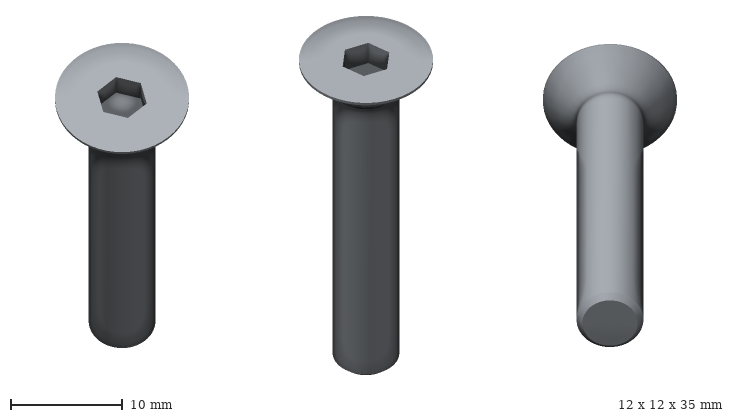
import cadquery as cq

total_length = 35.0
head_diameter = 12.0
shank_diameter = 6.0

rim_height = 0.28
head_radius = head_diameter / 2
shank_radius = shank_diameter / 2
cone_height = head_radius - shank_radius

tip_chamfer_height = 0.52
tip_chamfer_width = 0.52

socket_across_flats = 4.0
socket_depth = 2.38


def make_body():
    """Revolve the screw's half profile about Z, with the tip at Z = 0."""
    rim_bottom = total_length - rim_height
    cone_bottom = rim_bottom - cone_height
    profile = (
        cq.Workplane("XZ")
        .moveTo(0, 0)
        .lineTo(shank_radius - tip_chamfer_width, 0)
        .lineTo(shank_radius, tip_chamfer_height)
        .lineTo(shank_radius, cone_bottom)
        .lineTo(head_radius, rim_bottom)
        .lineTo(head_radius, total_length)
        .lineTo(0, total_length)
        .close()
    )
    return profile.revolve(360, (0, 0, 0), (0, 1, 0))


def make_socket():
    """Hexagonal prism sunk from the top of the head."""
    return (
        cq.Workplane("XY")
        .workplane(offset=total_length - socket_depth)
        .polygon(6, socket_across_flats, circumscribed=True)
        .extrude(socket_depth)
    )


result = make_body().cut(make_socket())